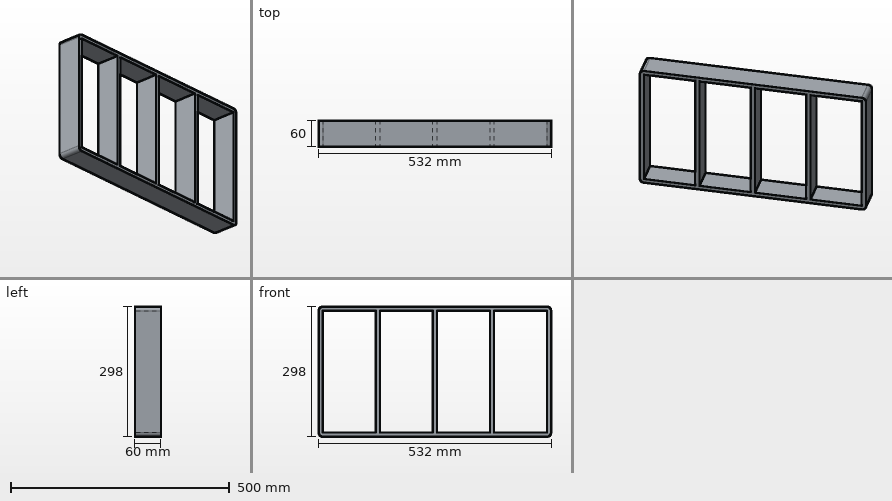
import cadquery as cq

length = 532.0
depth = 60.0
height = 298.0
wall = 10.0
corner_radius = wall

opening_count = 4
opening_width = (length - (opening_count + 1) * wall) / opening_count
opening_height = height - 2 * wall
opening_pitch = opening_width + wall

frame = cq.Workplane("XY").box(length, depth, height).edges("|Y").fillet(corner_radius)

openings = (
    cq.Workplane("XZ")
    .rarray(opening_pitch, 5.5, opening_count, 1)
    .rect(opening_width, opening_height)
    .extrude(depth, both=True)
)

result = frame.cut(openings)